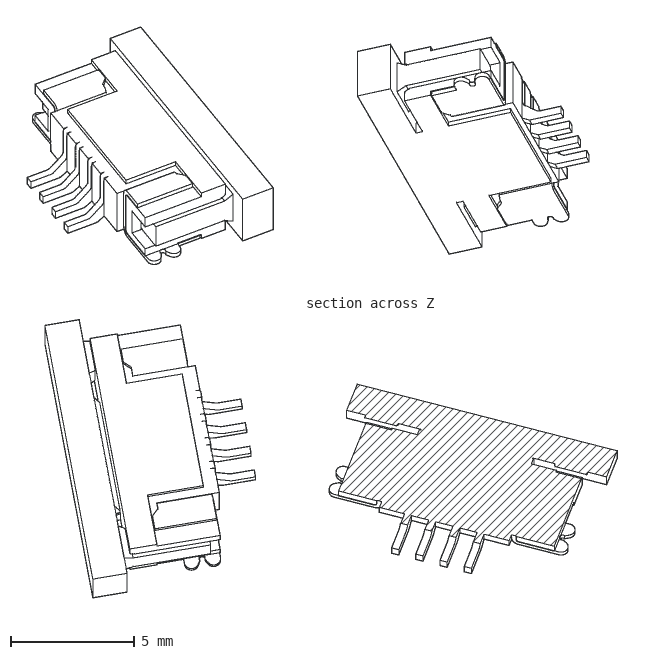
import cadquery as cq
import math


total_width = 11.1
total_depth = 7.4
total_height = 2.5

sheet = 0.2
recess_bottom = sheet
recess_top = total_height - sheet
mid_height = total_height / 2

housing_half_width = 4.61
housing_back = 5.7
housing_front = 1.98
nose_half_width = 2.78
nose_front = 1.69
plate_half_width = 2.44
plate_front = 2.29
bottom_plate_front = 1.91
plate_step = 4.58
lip_height = 0.72
lip_back_height = 0.5
lip_chamfer_start = 5.79

actuator_front = 5.98
arm_center_z = 1.19
arm_half_width = 4.74
arm_inner = 3.51
arm_front = 2.4
arm_half_height = 0.53
arm_flare_start = 5.59
arm_flare_rise = 0.21
arm_flare_inset = 0.18
slot_half_height = 0.6
slot_flare_start = 5.51
slot_flare_rise = 0.13
tongue_half_width = 2.38
tongue_bottom = 0.44
tongue_top = 1.78
tongue_tip_top = 0.89

clip_front = 2.0
clip_back = 4.55
clip_leg_back = 4.27
clip_top_reach = 3.93
foot_reach = 4.56
clip_inner_radius = 0.11
clip_outer_radius = clip_inner_radius + sheet
lobe_tip = 5.08
lobe_radius = 0.29
lobe_back = 3.49
notch_radius = 0.12
lobe_flank_angle = math.radians(30)

lead_count = 4
lead_pitch = 1.03
lead_width = 0.31
lead_thickness = 0.37
lead_face = 1.65
lead_top_radius = 0.2
lead_bend_radius = 0.22
lead_knee_top = 0.9
lead_foot_top_bend = 1.0
lead_foot_bottom_bend = 1.35
lead_root = plate_front


def box(x_min, x_max, y_min, y_max, z_min, z_max):
    size = (x_max - x_min, y_max - y_min, z_max - z_min)
    return cq.Workplane("XY").box(*size, centered=False).translate((x_min, y_min, z_min))


def centered_box(half_width, y_min, y_max, z_min, z_max):
    return box(-half_width, half_width, y_min, y_max, z_min, z_max)


def side_profile(points, x_min, x_max):
    """Extrude a (y, z) outline from x_min to x_max."""
    return cq.Workplane("YZ", origin=(x_min, 0, 0)).polyline(points).close().extrude(x_max - x_min)


def both_sides(body):
    return body.union(body.mirror("YZ"))


def make_housing():
    body = centered_box(housing_half_width, housing_front, housing_back, recess_bottom, recess_top)
    nose = centered_box(nose_half_width, nose_front, plate_step, recess_bottom, recess_top)
    back_plate = centered_box(housing_half_width, plate_step, housing_back, 0, total_height)
    top_plate = centered_box(plate_half_width, plate_front, housing_back, mid_height, total_height)
    bottom_plate = centered_box(plate_half_width, bottom_plate_front, housing_back, 0, mid_height)
    lip = side_profile(
        [
            (plate_step, 0),
            (actuator_front, 0),
            (actuator_front, lip_back_height),
            (lip_chamfer_start, lip_height),
            (plate_step, lip_height),
        ],
        -plate_half_width,
        plate_half_width,
    )
    return body.union(nose).union(back_plate).union(top_plate).union(bottom_plate).union(lip)


def flared_bar(half_height, front, flare_start, flare_end, rise, x_min, x_max):
    """Bar along Y that widens up and down towards its back end."""
    low, high = arm_center_z - half_height, arm_center_z + half_height
    outline = [
        (front, low),
        (flare_start, low),
        (flare_end, low - rise),
        (flare_end, high + rise),
        (flare_start, high),
        (front, high),
    ]
    return side_profile(outline, x_min, x_max)


def make_arm_slots():
    slot = flared_bar(
        slot_half_height, housing_front, slot_flare_start, housing_back, slot_flare_rise,
        arm_inner, arm_half_width,
    )
    return both_sides(slot)


def make_actuator():
    bar = centered_box(total_width / 2, actuator_front, total_depth, 0, recess_top)
    arm = flared_bar(
        arm_half_height, arm_front, arm_flare_start, actuator_front, arm_flare_rise,
        arm_inner - arm_flare_inset, arm_half_width,
    )
    plan = (
        cq.Workplane("XY")
        .polyline([
            (arm_inner, arm_front),
            (arm_inner, arm_flare_start),
            (arm_inner - arm_flare_inset, actuator_front),
            (arm_half_width, actuator_front),
            (arm_half_width, arm_front),
        ])
        .close()
        .extrude(total_height)
    )
    tongue = side_profile(
        [
            (housing_back, tongue_bottom),
            (actuator_front, tongue_bottom),
            (actuator_front, tongue_top),
            (housing_back, tongue_tip_top),
        ],
        -tongue_half_width,
        tongue_half_width,
    )
    return bar.union(both_sides(arm.intersect(plan))).union(tongue)


def make_clip_core(front):
    """Round-cornered block that the clip wraps around."""
    core = box(nose_half_width + sheet, clip_top_reach, front, clip_back, recess_bottom, recess_top)
    return core.edges("|Y and <X").fillet(clip_inner_radius)


def make_clip_groove():
    """Slot in the housing beside the nose for the upright leg of the clip."""
    groove_end = nose_half_width + clip_outer_radius
    groove = box(nose_half_width, groove_end, housing_front, clip_leg_back, recess_bottom, recess_top)
    return groove.cut(make_clip_core(housing_front))


def make_clip_band():
    """C-shaped bent sheet, open towards +X."""
    outer = box(nose_half_width, clip_top_reach, clip_front, clip_back, 0, total_height)
    outer = outer.edges("|Y and <X").fillet(clip_outer_radius)
    corner_x = nose_half_width + clip_outer_radius
    corner_depth = clip_back - clip_leg_back
    trim = (
        cq.Workplane("XY")
        .polyline([
            (nose_half_width, clip_back),
            (nose_half_width, clip_leg_back),
            (corner_x, clip_leg_back),
            (corner_x + corner_depth, clip_back),
        ])
        .close()
        .extrude(total_height)
    )
    return outer.cut(make_clip_core(clip_front)).cut(trim)


def make_solder_tab():
    """Flat foot ending in two round lobes with a round notch between them."""
    lobe_x = lobe_tip - lobe_radius
    back_lobe_y = lobe_back - lobe_radius
    front_lobe_y = clip_front + lobe_radius
    middle_y = (clip_front + lobe_back) / 2
    sine, cosine = math.sin(lobe_flank_angle), math.cos(lobe_flank_angle)

    flank_x = lobe_x + lobe_radius * sine
    flank_offset = back_lobe_y - lobe_radius * cosine - middle_y
    notch_offset = notch_radius * cosine
    notch_x = flank_x - (flank_offset - notch_offset) / math.tan(lobe_flank_angle)
    notch_bottom_x = notch_x - notch_radius * sine - notch_radius

    return (
        cq.Workplane("XY")
        .moveTo(clip_top_reach, clip_front)
        .lineTo(lobe_x, clip_front)
        .threePointArc((lobe_tip, front_lobe_y), (flank_x, middle_y - flank_offset))
        .lineTo(notch_x, middle_y - notch_offset)
        .threePointArc((notch_bottom_x, middle_y), (notch_x, middle_y + notch_offset))
        .lineTo(flank_x, middle_y + flank_offset)
        .threePointArc((lobe_tip, back_lobe_y), (lobe_x, lobe_back))
        .lineTo(foot_reach, lobe_back)
        .lineTo(foot_reach, clip_back)
        .lineTo(clip_top_reach, clip_back)
        .close()
        .extrude(sheet)
    )


def make_lead(center_x):
    """Gull-wing lead, flush with the nose top and slightly proud of its front."""
    outline = [
        (lead_root, recess_bottom),
        (nose_front, recess_bottom),
        (lead_foot_bottom_bend, 0),
        (0, 0),
        (0, lead_thickness),
        (lead_foot_top_bend, lead_thickness),
        (lead_face, lead_knee_top),
        (lead_face, recess_top),
        (lead_root, recess_top),
    ]
    lead = side_profile(outline, center_x - lead_width / 2, center_x + lead_width / 2)
    for y, z, radius in (
        (lead_face, recess_top, lead_top_radius),
        (lead_face, lead_knee_top, lead_bend_radius),
        (lead_foot_top_bend, lead_thickness, lead_bend_radius),
    ):
        lead = lead.edges(cq.NearestToPointSelector((center_x, y, z))).fillet(radius)
    return lead


clip = make_clip_band().union(make_solder_tab())

result = make_housing().cut(both_sides(make_clip_groove())).cut(make_arm_slots())
result = result.union(both_sides(clip)).union(make_actuator())

for index in range(lead_count):
    lead_x = (index - (lead_count - 1) / 2) * lead_pitch
    left, right = lead_x - lead_width / 2, lead_x + lead_width / 2
    lead_channel = box(left, right, nose_front, lead_root, recess_bottom, recess_top)
    result = result.cut(lead_channel).union(make_lead(lead_x))